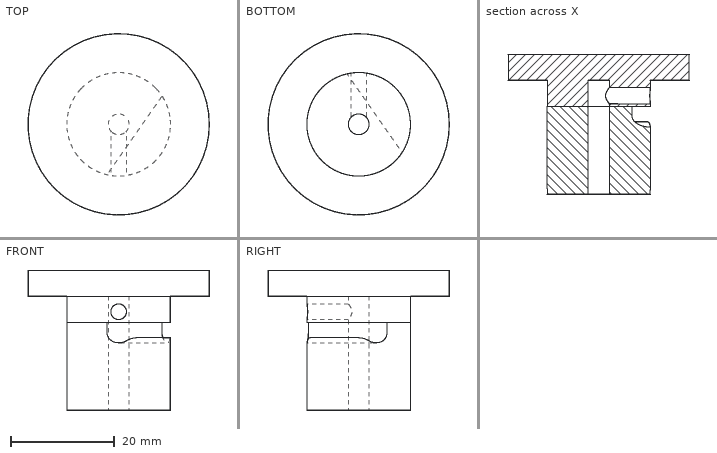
import cadquery as cq
import math

disc_diameter = 35.0
disc_height = 5.0
hub_diameter = 20.0
hub_radius = hub_diameter / 2

total_height = 27.0
sleeve_height = 16.9
disc_bottom = total_height - disc_height
screw_hole_drop = 2.98
screw_hole_diameter = 3.0

bore_diameter = 4.0

groove_radius = 2.0
groove_axis_height = 15.0
shoulder_height = 14.0
shoulder_radius = 2.0
notch_angle = 55.0


def make_knob():
    """Disc and hub with a blind shaft bore and a radial screw hole into it."""
    disc = (
        cq.Workplane("XY").workplane(offset=disc_bottom)
        .circle(disc_diameter / 2).extrude(disc_height)
    )
    hub = (
        cq.Workplane("XY").workplane(offset=sleeve_height)
        .circle(hub_radius).circle(bore_diameter / 2)
        .extrude(disc_bottom - sleeve_height)
    )
    screw_hole = (
        cq.Workplane("XZ").center(0, disc_bottom - screw_hole_drop)
        .circle(screw_hole_diameter / 2).extrude(hub_diameter)
    )
    return disc.union(hub).cut(screw_hole)


def make_notch_cutter():
    """Groove profile, swept straight across the sleeve at the notch angle."""
    angle = math.radians(notch_angle)
    profile_plane = cq.Plane(
        origin=(0, -hub_radius, 0),
        xDir=(math.sin(angle), -math.cos(angle), 0),
        normal=(-math.cos(angle), -math.sin(angle), 0),
    )
    rounding_height = shoulder_height - shoulder_radius
    rise = groove_axis_height - rounding_height
    centre_distance = groove_radius + shoulder_radius
    rounding_offset = math.sqrt(centre_distance**2 - rise**2)
    touch_share = groove_radius / centre_distance
    touch_point = (rounding_offset * touch_share, groove_axis_height - rise * touch_share)

    half_turn = math.atan2(rounding_offset, rise) / 2
    rounding_middle = (
        rounding_offset - shoulder_radius * math.sin(half_turn),
        rounding_height + shoulder_radius * math.cos(half_turn),
    )
    return (
        cq.Workplane(profile_plane)
        .moveTo(-groove_radius, sleeve_height)
        .lineTo(-groove_radius, groove_axis_height)
        .threePointArc((0, groove_axis_height - groove_radius), touch_point)
        .threePointArc(rounding_middle, (rounding_offset, shoulder_height))
        .lineTo(hub_diameter, shoulder_height)
        .lineTo(hub_diameter, sleeve_height)
        .close()
        .extrude(2 * hub_diameter, both=True)
    )


def make_sleeve():
    """Bored cylinder below the hub, notched at its upper edge."""
    tube = (
        cq.Workplane("XY").circle(hub_radius).circle(bore_diameter / 2)
        .extrude(sleeve_height)
    )
    return tube.cut(make_notch_cutter())


knob = make_knob()
sleeve = make_sleeve()
result = cq.Compound.makeCompound([knob.solids().val(), sleeve.solids().val()])